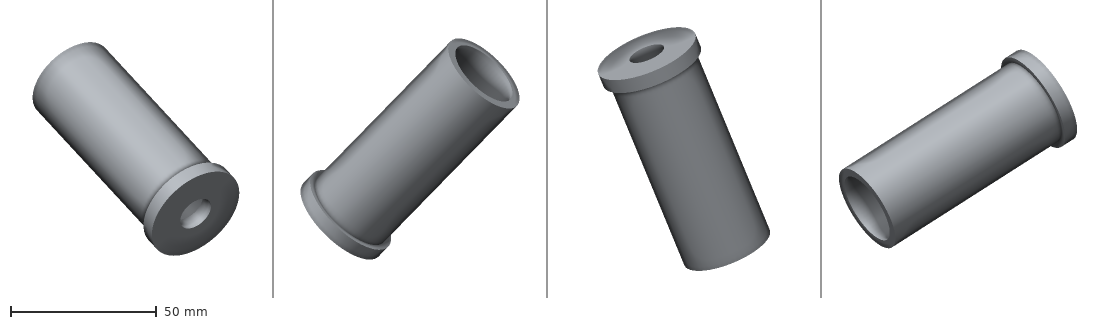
import cadquery as cq
import math

length = 77.0
flange_diameter = 36.0
flange_thickness = 5.15
body_diameter = 31.7

bore_diameter = 25.4
seat_diameter = 20.0
exit_diameter = 12.7
drill_point_angle = 120.0
seat_length = flange_thickness


def cone_depth(wide_diameter, narrow_diameter):
    """Axial length of the cone between two bore diameters."""
    radial_step = (wide_diameter - narrow_diameter) / 2
    return radial_step / math.tan(math.radians(drill_point_angle / 2))


flange_start = length - flange_thickness
seat_end = flange_start - cone_depth(seat_diameter, exit_diameter)
seat_start = seat_end - seat_length
bore_end = seat_start - cone_depth(bore_diameter, seat_diameter)

half_section = [
    (0, bore_diameter / 2),
    (0, body_diameter / 2),
    (flange_start, body_diameter / 2),
    (flange_start, flange_diameter / 2),
    (length, flange_diameter / 2),
    (length, exit_diameter / 2),
    (flange_start, exit_diameter / 2),
    (seat_end, seat_diameter / 2),
    (seat_start, seat_diameter / 2),
    (bore_end, bore_diameter / 2),
]
result = (
    cq.Workplane("XY")
    .polyline(half_section)
    .close()
    .revolve(360, (0, 0, 0), (1, 0, 0))
)